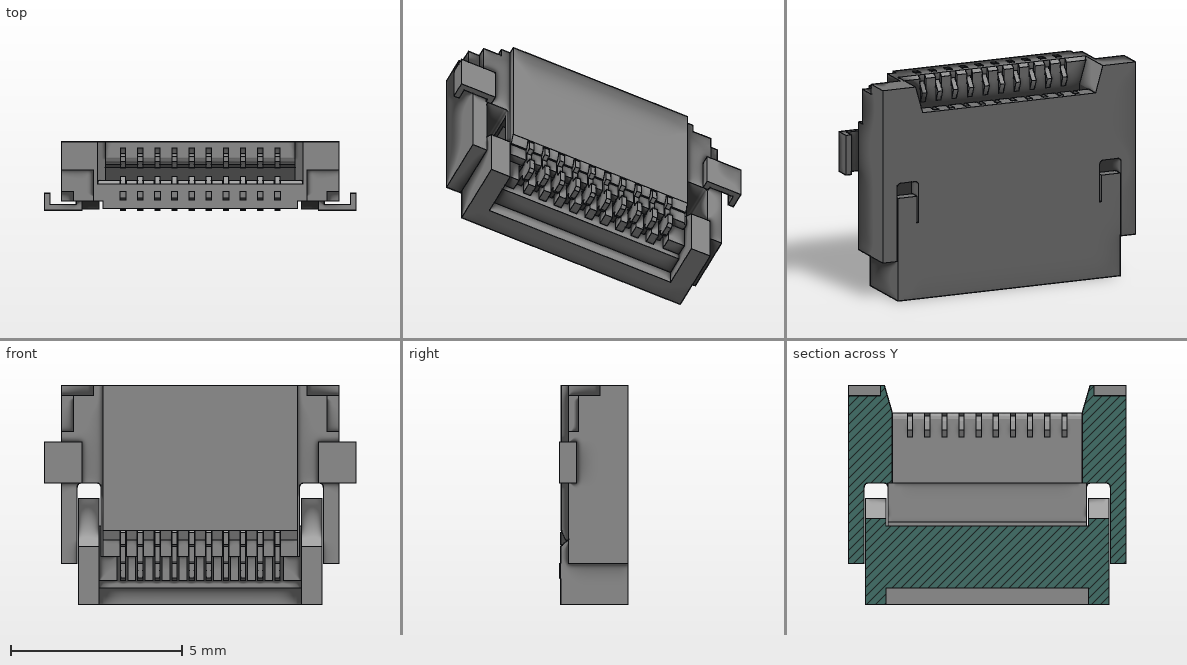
import cadquery as cq


TOTAL_HEIGHT = 6.4
BACK_Y = 2.0

HOUSING_HALF_WIDTH = 4.05
HOUSING_FRONT_Y = 0.265
LEG_BOTTOM_Z = 1.2
CENTER_BOTTOM_Z = 1.4
PLATE_HALF_WIDTH = 2.84
PLATE_FRONT_Y = 0.05
PLATE_BOTTOM_Z = 2.17
APRON_FRONT_Y = 0.22
APRON_TOP_Z = 1.88
PLATE_SLOPE_BACK_Y = 0.18

CHANNEL_INNER_X = 2.9
CHANNEL_OUTER_X = 3.59
CHANNEL_TOP_Z = 3.55
CHANNEL_RADIUS = 0.12
HOLLOW_FRONT_Y = 0.45
HOLLOW_BACK_Y = 1.5

CORNER_INNER_X = 3.12
CORNER_DEPTH = 0.3
CORNER_BACK_Y = 1.18
KEY_INNER_X = 3.7
KEY_BOTTOM_Z = 5.05
KEY_BACK_Y = 0.55

ARM_INNER_X = 2.95
ARM_OUTER_X = 3.56
ARM_FRONT_Y = 0.03
ARM_SLOPE_BOTTOM_Z = 1.7
ARM_TOP_Z = 3.1
ARM_TOP_FRONT_Y = 1.68
CROSSBAR_TOP_Z = 2.3
CROSSBAR_FRONT_Y = 1.4
CROSSBAR_STEP_Z = 0.48
RAMP_FRONT_Y = 1.25
RAMP_RISE = 0.11
COMB_ROOT_Y = 0.85
COMB_FRONT_Y = 0.5
COMB_BOTTOM_Z = 0.7
COMB_GAP_WIDTH = 0.27
COMB_END_TOOTH_X = 2.43

MOUTH_TOP_HALF_WIDTH = 3.0
MOUTH_BOTTOM_HALF_WIDTH = 2.77
MOUTH_FLOOR_Z = 5.6
MOUTH_FRONT_Y = 0.765
LEAD_IN = 0.1
SLOT_FRONT_Y = MOUTH_FRONT_Y + LEAD_IN
SLOT_BACK_Y = 1.34
LEDGE_RADIUS = 0.19

TAB_OUTER_X = 4.55
TAB_INNER_X = 3.45
TAB_BOTTOM_Z = 3.55
TAB_HEIGHT = 1.2
TAB_THICKNESS = 0.17
TAB_RETURN_Y = 0.5

CONTACT_COUNT = 10
CONTACT_PITCH = 0.5
CONTACT_WIDTH = 0.15

FOOT_BOTTOM_Z = 0.7
FOOT_BEVEL_Y = 0.1
FOOT_BEVEL_Z = 0.08
FOOT_HEEL_Y = 0.38
FOOT_HEEL_Z = 0.8
FOOT_TOP_Z = 1.2
LINK_BOTTOM_Z = 1.0
STEM_FRONT_Y = 0.19
STEM_BOTTOM_Z = 1.25
STEM_TOP_Z = 1.7
SHOULDER_FRONT_Y = 0.03
SHOULDER_BOTTOM_Z = 1.75
SHOULDER_TOP_Z = 2.1
SHOULDER_BEVEL_Y = 0.1

FRONT_SPRING_TOP_Z = 6.2
FRONT_SPRING_CREST_Y = 0.99
FRONT_SPRING_CREST_Z = 5.9
REAR_SPRING_SHOULDER_Z = 5.35
REAR_SPRING_CREST_Y = 1.24
REAR_SPRING_CREST_Z = 5.1
REAR_SPRING_END_Z = 4.9

PASSAGE_WIDTH = 0.19
PASSAGE_BACK_Y = 0.4
NOTCH_BOTTOM_Z = 6.0
TOP_POCKET_WIDTH = 0.17
TOP_POCKET_FRONT_Y = 0.3
TOP_POCKET_BACK_Y = 0.55
TOP_POCKET_FLOOR_Z = 6.37
TOP_POCKET_SLOPE_Y = 0.06
TOP_POCKET_SLOPE_Z = 0.05
REAR_POCKET_BACK_Y = 1.82
REAR_POCKET_FLOOR_Z = 5.4
REAR_BUMP_Z = 5.5
REAR_BUMP_FRONT_Y = 1.43
REAR_BUMP_BACK_Y = 1.57
REAR_BUMP_FOOT_Y = 1.65

contact_positions = [(i - (CONTACT_COUNT - 1) / 2) * CONTACT_PITCH for i in range(CONTACT_COUNT)]


def block(x_min, x_max, y_min, y_max, z_min, z_max):
    """Box between two opposite corners."""
    size = (x_max - x_min, y_max - y_min, z_max - z_min)
    return cq.Workplane("XY").box(*size, centered=False).translate((x_min, y_min, z_min))


def centered_block(half_width, y_min, y_max, z_min, z_max):
    """Box that is symmetric about X = 0."""
    return block(-half_width, half_width, y_min, y_max, z_min, z_max)


def side_profile(points, x_center, width):
    """Extrude a closed (Y, Z) outline along X, centred on x_center."""
    sketch = cq.Workplane("YZ").polyline(points).close()
    return sketch.extrude(width / 2, both=True).translate((x_center, 0, 0))


def both_sides(shape):
    """Join a shape on the +X side with its mirror image."""
    return shape.union(shape.mirror("YZ"))


def contact_row(points, width):
    """Repeat a (Y, Z) outline at every contact position."""
    row = cq.Workplane("XY")
    for x in contact_positions:
        row = row.add(side_profile(points, x, width))
    return row.combine()


def housing_shell():
    """Housing body with its arm channels, the hollow between them and the front plate."""
    body = centered_block(HOUSING_HALF_WIDTH, HOUSING_FRONT_Y, BACK_Y, LEG_BOTTOM_Z, TOTAL_HEIGHT)
    underside = centered_block(CHANNEL_INNER_X, HOUSING_FRONT_Y, BACK_Y, LEG_BOTTOM_Z, CENTER_BOTTOM_Z)
    channel = block(CHANNEL_INNER_X, CHANNEL_OUTER_X, 0, BACK_Y, 0, CHANNEL_TOP_Z)
    channel = channel.edges("|Y and >Z").fillet(CHANNEL_RADIUS)
    hollow = centered_block(CHANNEL_INNER_X, HOLLOW_FRONT_Y, HOLLOW_BACK_Y, CENTER_BOTTOM_Z, CHANNEL_TOP_Z)
    plate_outline = [
        (PLATE_FRONT_Y, TOTAL_HEIGHT),
        (PLATE_FRONT_Y, PLATE_BOTTOM_Z),
        (PLATE_SLOPE_BACK_Y, APRON_TOP_Z),
        (APRON_FRONT_Y, APRON_TOP_Z),
        (APRON_FRONT_Y, CENTER_BOTTOM_Z),
        (HOUSING_FRONT_Y, CENTER_BOTTOM_Z),
        (HOUSING_FRONT_Y, TOTAL_HEIGHT),
    ]
    plate = side_profile(plate_outline, 0, 2 * PLATE_HALF_WIDTH)
    return body.cut(underside).cut(both_sides(channel)).cut(hollow).union(plate)


def corner_recesses():
    """Stepped cut-outs in the top front corners of the housing."""
    corner_floor_z = TOTAL_HEIGHT - CORNER_DEPTH
    corner = block(
        CORNER_INNER_X, HOUSING_HALF_WIDTH, HOUSING_FRONT_Y, CORNER_BACK_Y, corner_floor_z, TOTAL_HEIGHT
    )
    key = block(KEY_INNER_X, HOUSING_HALF_WIDTH, HOUSING_FRONT_Y, KEY_BACK_Y, KEY_BOTTOM_Z, corner_floor_z)
    return both_sides(corner.union(key))


def mating_opening():
    """Flared mouth, open at the back, with a lead-in and a rounded ledge above the slot."""
    mouth_outline = [
        (-MOUTH_TOP_HALF_WIDTH, TOTAL_HEIGHT),
        (MOUTH_TOP_HALF_WIDTH, TOTAL_HEIGHT),
        (MOUTH_BOTTOM_HALF_WIDTH, MOUTH_FLOOR_Z),
        (-MOUTH_BOTTOM_HALF_WIDTH, MOUTH_FLOOR_Z),
    ]
    mouth = cq.Workplane("XZ").polyline(mouth_outline).close().extrude(-BACK_Y)
    depth_outline = [
        (MOUTH_FRONT_Y, TOTAL_HEIGHT),
        (SLOT_FRONT_Y, TOTAL_HEIGHT - LEAD_IN),
        (SLOT_FRONT_Y, MOUTH_FLOOR_Z),
        (BACK_Y, MOUTH_FLOOR_Z),
        (BACK_Y, TOTAL_HEIGHT),
    ]
    mouth = mouth.intersect(side_profile(depth_outline, 0, 2 * MOUTH_TOP_HALF_WIDTH))
    slot = (
        cq.Workplane("YZ")
        .moveTo(SLOT_FRONT_Y, MOUTH_FLOOR_Z)
        .lineTo(SLOT_FRONT_Y, CROSSBAR_TOP_Z)
        .lineTo(SLOT_BACK_Y, CROSSBAR_TOP_Z)
        .lineTo(SLOT_BACK_Y, MOUTH_FLOOR_Z - LEDGE_RADIUS)
        .radiusArc((SLOT_BACK_Y + LEDGE_RADIUS, MOUTH_FLOOR_Z), LEDGE_RADIUS)
        .close()
        .extrude(MOUTH_BOTTOM_HALF_WIDTH, both=True)
    )
    return mouth.union(slot)


def slider():
    """Two sloped arms joined by a crossbar with a comb that separates the contact tails."""
    arm_outline = [
        (ARM_FRONT_Y, 0),
        (ARM_FRONT_Y, ARM_SLOPE_BOTTOM_Z),
        (ARM_TOP_FRONT_Y, ARM_TOP_Z),
        (BACK_Y, ARM_TOP_Z),
        (BACK_Y, 0),
    ]
    arm = side_profile(arm_outline, (ARM_INNER_X + ARM_OUTER_X) / 2, ARM_OUTER_X - ARM_INNER_X)
    crossbar = centered_block(ARM_INNER_X, CROSSBAR_FRONT_Y, BACK_Y, 0, CROSSBAR_TOP_Z)
    root = centered_block(ARM_INNER_X, COMB_ROOT_Y, CROSSBAR_FRONT_Y, CROSSBAR_STEP_Z, CROSSBAR_TOP_Z)
    web = centered_block(ARM_INNER_X, COMB_FRONT_Y, COMB_ROOT_Y, CENTER_BOTTOM_Z, CROSSBAR_TOP_Z)
    comb = centered_block(ARM_INNER_X, COMB_FRONT_Y, COMB_ROOT_Y, COMB_BOTTOM_Z, CENTER_BOTTOM_Z)
    gap_outline = [
        (COMB_FRONT_Y, COMB_BOTTOM_Z),
        (COMB_FRONT_Y, CENTER_BOTTOM_Z),
        (COMB_ROOT_Y, CENTER_BOTTOM_Z),
        (COMB_ROOT_Y, COMB_BOTTOM_Z),
    ]
    comb = comb.cut(contact_row(gap_outline, COMB_GAP_WIDTH))
    end_relief = block(
        contact_positions[-1], COMB_END_TOOTH_X, COMB_FRONT_Y, COMB_ROOT_Y, COMB_BOTTOM_Z, CENTER_BOTTOM_Z
    )
    comb = comb.cut(both_sides(end_relief))
    ramp_outline = [
        (RAMP_FRONT_Y, CROSSBAR_TOP_Z),
        (HOLLOW_BACK_Y, CROSSBAR_TOP_Z),
        (HOLLOW_BACK_Y, CROSSBAR_TOP_Z + RAMP_RISE),
    ]
    crossbar = crossbar.union(side_profile(ramp_outline, 0, 2 * CHANNEL_INNER_X))
    return both_sides(arm).union(crossbar).union(root).union(web).union(comb)


def solder_tabs():
    """Hooked metal tabs beside the housing."""
    top_z = TAB_BOTTOM_Z + TAB_HEIGHT
    foot = block(TAB_INNER_X, TAB_OUTER_X, 0, TAB_THICKNESS, TAB_BOTTOM_Z, top_z)
    hook = block(TAB_OUTER_X - TAB_THICKNESS, TAB_OUTER_X, 0, TAB_RETURN_Y, TAB_BOTTOM_Z, top_z)
    stem = block(TAB_INNER_X, TAB_INNER_X + TAB_THICKNESS, 0, HOUSING_FRONT_Y, TAB_BOTTOM_Z, top_z)
    return both_sides(foot.union(hook).union(stem))


def contact_openings():
    """Passages for the contacts, cut down to the contact surfaces inside them."""
    top_pocket = [
        (TOP_POCKET_FRONT_Y, TOTAL_HEIGHT),
        (TOP_POCKET_FRONT_Y, TOP_POCKET_FLOOR_Z - TOP_POCKET_SLOPE_Z),
        (TOP_POCKET_FRONT_Y + TOP_POCKET_SLOPE_Y, TOP_POCKET_FLOOR_Z),
        (TOP_POCKET_BACK_Y, TOP_POCKET_FLOOR_Z),
        (TOP_POCKET_BACK_Y, TOTAL_HEIGHT),
    ]
    rear_pocket = [
        (SLOT_BACK_Y, MOUTH_FLOOR_Z),
        (SLOT_BACK_Y, REAR_SPRING_SHOULDER_Z),
        (REAR_BUMP_FRONT_Y, REAR_BUMP_Z),
        (REAR_BUMP_BACK_Y, REAR_BUMP_Z),
        (REAR_BUMP_FOOT_Y, REAR_POCKET_FLOOR_Z),
        (REAR_POCKET_BACK_Y, REAR_POCKET_FLOOR_Z),
        (REAR_POCKET_BACK_Y, MOUTH_FLOOR_Z),
    ]
    lead_in_notch = [
        (MOUTH_FRONT_Y, TOTAL_HEIGHT),
        (MOUTH_FRONT_Y, NOTCH_BOTTOM_Z),
        (SLOT_FRONT_Y, NOTCH_BOTTOM_Z),
        (SLOT_FRONT_Y, TOTAL_HEIGHT),
    ]
    apron_passage = [
        (APRON_FRONT_Y, CENTER_BOTTOM_Z),
        (PLATE_FRONT_Y, PLATE_BOTTOM_Z),
        (PASSAGE_BACK_Y, PLATE_BOTTOM_Z),
        (PASSAGE_BACK_Y, CENTER_BOTTOM_Z),
    ]
    openings = contact_row(top_pocket, TOP_POCKET_WIDTH)
    openings = openings.union(contact_row(rear_pocket, CONTACT_WIDTH))
    openings = openings.union(contact_row(lead_in_notch, PASSAGE_WIDTH))
    return openings.union(contact_row(apron_passage, PASSAGE_WIDTH))


def contacts():
    """Contact tails below the housing and spring crests inside the slot."""
    tail = [
        (FOOT_BEVEL_Y, FOOT_BOTTOM_Z),
        (0, FOOT_BOTTOM_Z + FOOT_BEVEL_Z),
        (0, FOOT_TOP_Z),
        (STEM_FRONT_Y, STEM_BOTTOM_Z),
        (STEM_FRONT_Y, STEM_TOP_Z),
        (SHOULDER_FRONT_Y, SHOULDER_BOTTOM_Z),
        (SHOULDER_FRONT_Y, SHOULDER_TOP_Z),
        (SHOULDER_BEVEL_Y, PLATE_BOTTOM_Z),
        (COMB_ROOT_Y, PLATE_BOTTOM_Z),
        (COMB_ROOT_Y, LINK_BOTTOM_Z),
        (COMB_FRONT_Y, LINK_BOTTOM_Z),
        (COMB_FRONT_Y, FOOT_HEEL_Z),
        (FOOT_HEEL_Y, FOOT_BOTTOM_Z),
    ]
    front_spring = [
        (MOUTH_FRONT_Y, NOTCH_BOTTOM_Z),
        (MOUTH_FRONT_Y, FRONT_SPRING_TOP_Z),
        (FRONT_SPRING_CREST_Y, FRONT_SPRING_CREST_Z),
        (SLOT_FRONT_Y, MOUTH_FLOOR_Z),
    ]
    rear_spring = [
        (SLOT_BACK_Y, REAR_SPRING_SHOULDER_Z),
        (REAR_SPRING_CREST_Y, REAR_SPRING_CREST_Z),
        (SLOT_BACK_Y, REAR_SPRING_END_Z),
    ]
    row = contact_row(tail, CONTACT_WIDTH)
    return row.union(contact_row(front_spring, CONTACT_WIDTH)).union(contact_row(rear_spring, CONTACT_WIDTH))


housing = housing_shell().cut(corner_recesses()).cut(mating_opening()).cut(contact_openings())
result = housing.union(slider()).union(solder_tabs()).union(contacts())